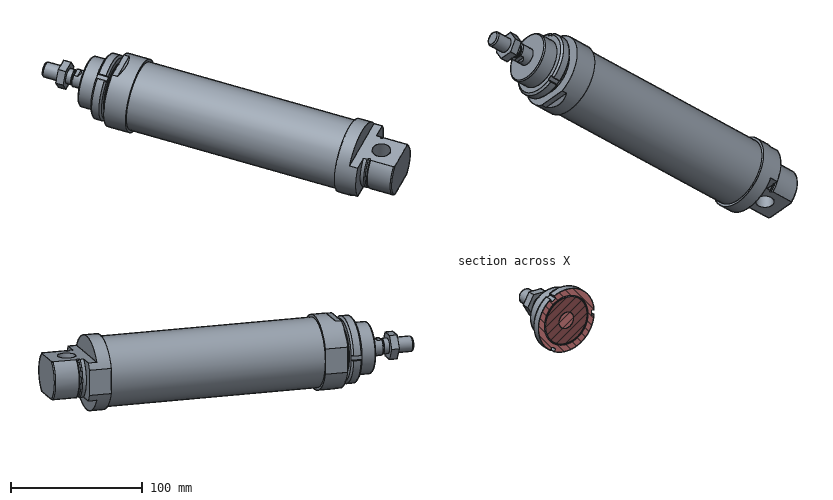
import cadquery as cq
import math


overall_length = 292.0
rod_nut_start = 13.5
rod_thread_end = 23.7
rod_shoulder = 25.0
nose_start = 35.0
lock_nut_start = 47.5
front_cap_start = 60.2
barrel_start = 78.0
barrel_end = 249.0
tongue_start = 260.0
rear_cap_end = 266.5
eye_hole_x = 276.0

rod_diameter = 14.0
rod_thread_diameter = 12.0
rod_neck_diameter = 10.2
rod_tip_diameter = 10.2
rod_tip_chamfer = 1.2
rod_flat_width = 12.0
rod_flat_length = 3.2
rod_flat_runout = 1.8

rod_nut_width = 19.0
rod_nut_thickness = 6.0

neck_diameter = 40.0
neck_root_diameter = 38.3
neck_chamfer = (neck_diameter - neck_root_diameter) / 2
relief_offset = 3.0
relief_width = 3.0

barrel_diameter = 54.0
cap_diameter = 58.0
cap_side_flat = 27.3
cap_wrench_width = 53.0
cap_flat_length = 4.5
cap_flat_runout = 3.0

tongue_thickness = 30.0
eye_hole_diameter = 14.0

lock_nut_diameter = 52.0
lock_nut_face_diameter = 48.5
lock_nut_thickness = 8.8
lock_nut_chamfer = 1.5
lock_slot_count = 3
lock_slot_width = 3.8
lock_slot_floor = 23.5

margin = 3.0


def cylinder(start, end, diameter):
    """Cylinder about the X axis between two stations."""
    return cq.Workplane("YZ", origin=(start, 0, 0)).circle(diameter / 2).extrude(end - start)


def revolve_profile(points):
    """Solid of revolution about X; points are (station, radius) and close along the axis."""
    outline = [(points[0][0], 0), *points, (points[-1][0], 0)]
    return cq.Workplane("XY").polyline(outline).close().revolve(360, (0, 0, 0), (1, 0, 0))


def wrench_flats(start, length, runout, width, diameter):
    """Material to remove for a top and a bottom flat, each ending in a slope up to the surface."""
    flat_z = width / 2
    surface_z = diameter / 2
    flat_end = start + length
    slope = runout / (surface_z - flat_z)
    top_z = surface_z + margin
    top = (
        cq.Workplane("XZ")
        .polyline([
            (start, flat_z),
            (flat_end, flat_z),
            (flat_end + slope * (top_z - flat_z), top_z),
            (start, top_z),
        ])
        .close()
        .extrude(diameter / 2, both=True)
    )
    return top.union(top.mirror("XY"))


def relief_groove(start):
    """V-sided ring that cuts the thread relief groove into a neck."""
    root = neck_root_diameter / 2
    crest = neck_diameter / 2
    profile = [
        (start, crest),
        (start + neck_chamfer, root),
        (start + relief_width - neck_chamfer, root),
        (start + relief_width, crest),
    ]
    return cq.Workplane("XY").polyline(profile).close().revolve(360, (0, 0, 0), (1, 0, 0))


def flatten_side(cap):
    """Cut the flat on the +Y side of a cap."""
    block = cq.Workplane("XY").box(
        overall_length, margin, cap_diameter, centered=(False, False, True)
    )
    return cap.cut(block.translate((0, cap_side_flat, 0)))


def make_rod():
    thread_radius = rod_thread_diameter / 2
    neck_radius = rod_neck_diameter / 2
    rod = revolve_profile([
        (0, rod_tip_diameter / 2),
        (rod_tip_chamfer, thread_radius),
        (rod_thread_end, thread_radius),
        (rod_thread_end, neck_radius),
        (rod_shoulder, neck_radius),
        (rod_shoulder, rod_diameter / 2),
        (barrel_start, rod_diameter / 2),
    ])
    flats = wrench_flats(rod_shoulder, rod_flat_length, rod_flat_runout, rod_flat_width, rod_diameter)
    return rod.cut(flats)


def make_rod_nut():
    """Hexagon nut with flats facing up and down."""
    corner_diameter = rod_nut_width / math.cos(math.pi / 6)
    return (
        cq.Workplane("YZ", origin=(rod_nut_start, 0, 0))
        .polygon(6, corner_diameter)
        .circle(rod_thread_diameter / 2)
        .extrude(rod_nut_thickness)
    )


def make_front_cap():
    """Threaded nose and collar, bored through for the rod."""
    cap = revolve_profile([
        (nose_start, neck_root_diameter / 2),
        (nose_start + neck_chamfer, neck_diameter / 2),
        (front_cap_start, neck_diameter / 2),
        (front_cap_start, cap_diameter / 2),
        (barrel_start, cap_diameter / 2),
    ])
    flats = wrench_flats(front_cap_start, cap_flat_length, cap_flat_runout, cap_wrench_width, cap_diameter)
    groove = relief_groove(front_cap_start - relief_offset - relief_width)
    bore = cylinder(nose_start, barrel_start, rod_diameter)
    return flatten_side(cap).cut(flats).cut(groove).cut(bore)


def make_lock_nut():
    """Round nut on the nose with equally spaced spanner slots, the first on the +Y side."""
    end = lock_nut_start + lock_nut_thickness
    nut = revolve_profile([
        (lock_nut_start, lock_nut_face_diameter / 2),
        (lock_nut_start + lock_nut_chamfer, lock_nut_diameter / 2),
        (end - lock_nut_chamfer, lock_nut_diameter / 2),
        (end, lock_nut_face_diameter / 2),
    ])
    nut = nut.cut(cylinder(lock_nut_start, end, neck_diameter))
    slot = (
        cq.Workplane("XY")
        .box(lock_nut_thickness, margin, lock_slot_width, centered=(False, False, True))
        .translate((lock_nut_start, lock_slot_floor, 0))
    )
    for i in range(lock_slot_count):
        nut = nut.cut(slot.rotate((0, 0, 0), (1, 0, 0), i * 360 / lock_slot_count))
    return nut


def make_barrel():
    return cylinder(barrel_start, barrel_end, barrel_diameter)


def make_rear_cap():
    """Collar and threaded neck, flattened to a tongue with a vertical eye hole."""
    cap = revolve_profile([
        (barrel_end, cap_diameter / 2),
        (rear_cap_end, cap_diameter / 2),
        (rear_cap_end, neck_diameter / 2),
        (overall_length - neck_chamfer, neck_diameter / 2),
        (overall_length, neck_root_diameter / 2),
    ])
    cap = flatten_side(cap).cut(relief_groove(rear_cap_end + relief_offset))
    tongue_slab = cq.Workplane("XY").box(
        overall_length - tongue_start, cap_diameter, tongue_thickness, centered=(False, True, True)
    )
    collar = cylinder(barrel_end, tongue_start, cap_diameter + margin)
    cap = cap.intersect(collar.union(tongue_slab.translate((tongue_start, 0, 0))))
    eye_hole = (
        cq.Workplane("XY")
        .center(eye_hole_x, 0)
        .circle(eye_hole_diameter / 2)
        .extrude(tongue_thickness, both=True)
    )
    return cap.cut(eye_hole)


rod = make_rod()
rod_nut = make_rod_nut()
front_cap = make_front_cap()
lock_nut = make_lock_nut()
barrel = make_barrel()
rear_cap = make_rear_cap()

result = cq.Compound.makeCompound([
    rod.val(),
    rod_nut.val(),
    front_cap.val(),
    lock_nut.val(),
    barrel.val(),
    rear_cap.val(),
])